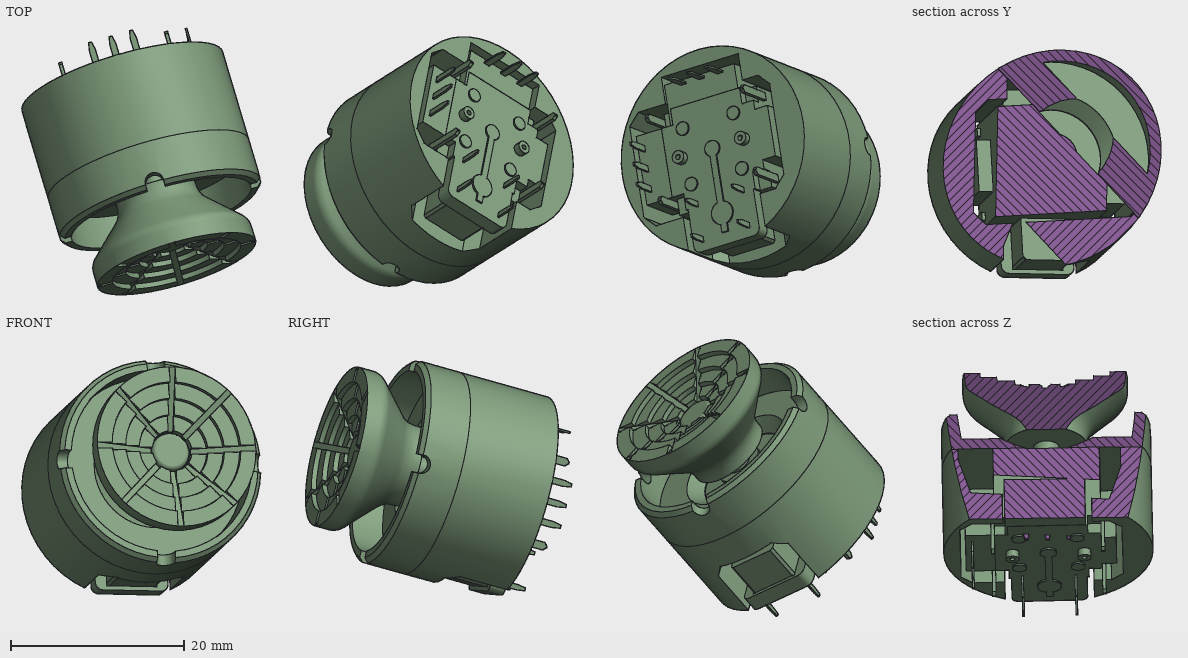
import cadquery as cq
import math

AZIMUTH = math.radians(16.6)
ELEVATION = math.radians(15.0)
ROLL = math.radians(-1.2)

BARREL_D = 24.2
BARREL_H = 16.38
SEAM_Z = 10.98
RIM_CHAMFER = 0.5
BORE_D = 21.68
FLOOR_Z = 12.58
FUNNEL_D = 14.0
THROAT_D = 11.05
FUNNEL_DEPTH = (FUNNEL_D - THROAT_D) / 2
NOTCH_D = 2.15
NOTCH_DEPTH = 1.63

ARM_HALF_W = 5.15
POCKET_TOP = 10.18
POCKET_RIGHT = 10.18
POCKET_LEFT = 8.57
POCKET_SIDE = 6.95
POCKET_CORNER = 1.4
SLOT_H = 7.25
SLOT_CHAMFER = 1.4

KNOB_TOP_Z = 22.75
KNOB_D = 19.05
KNOB_EDGE_H = 1.75
KNOB_ROUND = 1.5
NECK_D = 9.53
NECK_FLARE_R = 3.0
KNOB_H = 8.9
STEP_COUNT = 3
STEP_W = 1.805
STEP_DEPTH = 0.62
OUTER_STEP_D = 15.45
GROOVE_D = 4.75
GROOVE_DEPTH = 2.8
BUTTON_D = 4.5
BUTTON_DEPTH = 2.13
BUTTON_ROUND = 0.5
SPOKE_COUNT = 8
SPOKE_W = 0.7
SPOKE_DEPTH = 2.45

CORE_HALF = 6.17
CORNER_CUT_U = 4.63
CORNER_CUT_V = 4.2
CORNER_CUT_H = 1.23
SENSOR_INSET = 0.03
SENSOR_H = 6.17
TOP_SENSOR_LEFT = 4.4
TOP_SENSOR_RIGHT = 4.93
TOP_SENSOR_END = 9.15
RIGHT_SENSOR_HALF_W = 4.2
RIGHT_SENSOR_END = 9.55
LEFT_LUG_HALF_W = 3.08
LEFT_LUG_END = 7.85
TRAY_HALF_W = 4.38
TRAY_END = 11.63
TRAY_H = 1.85
TRAY_SIDE = 1.35
TRAY_WALL = 0.5
TRAY_ROUND = 0.85
SWITCH_CHAMFER = 0.3
STEM_D = 3.0
COLLAR_D = 5.52
COLLAR_H = 0.93
STEM_SOCKET_DEPTH = 1.55

PEG_D = 1.5
PEG_HOLE_D = 0.6
PEG_H = 0.9
PEG_U = 4.15
STUD_D = 1.6
STUD_H = 0.22
STUD_OFFSET = 3.4
RIB_W = 0.8
RIB_HUB_D = 1.9
RIB_BOSS_D = 2.78
RIB_BOSS_V = -7.85
RIB_END = -10.18

PIN_ROOT = 0.93
PIN_LENGTH = 3.25
PIN_THICK = 0.22
PIN_W = 0.75
PIN_PITCH = 2.47
PIN_TIP_W = 0.37
PIN_TAPER = 1.0
TOP_PIN_V = 8.67
RIGHT_PIN_U = 8.75
SWITCH_PIN_U = 3.08
SWITCH_PIN_V = (-5.92, -10.25)
SWITCH_PIN_W = 0.65
SWITCH_PIN_LENGTH = 2.65
LEG_W = 0.93
LEG_THICK = 0.4
LEG_LENGTH = 2.9
LEG_ROOT = 2.47
LEG_V = 5.03
LEG_TAPER = 0.37


def cylinder(diameter, bottom, top, u=0, v=0):
    """Upright cylinder between two heights."""
    return cq.Workplane("XY", origin=(u, v, bottom)).circle(diameter / 2).extrude(top - bottom)


def block(u_min, u_max, v_min, v_max, bottom, top):
    """Upright box given by its limits."""
    base = cq.Workplane("XY", origin=((u_min + u_max) / 2, (v_min + v_max) / 2, bottom))
    return base.rect(u_max - u_min, v_max - v_min).extrude(top - bottom)


def revolve_profile(points):
    """Turn a closed (radius, height) outline about the stick axis."""
    return cq.Workplane("XZ").polyline(points).close().revolve(360, (0, 0), (0, 1))


def make_throat():
    """Funnel below the bezel floor and the plain hole that follows it."""
    funnel_bottom = FLOOR_Z - FUNNEL_DEPTH
    return revolve_profile([
        (0, SEAM_Z),
        (THROAT_D / 2, SEAM_Z),
        (THROAT_D / 2, funnel_bottom),
        (FUNNEL_D / 2, FLOOR_Z),
        (0, FLOOR_Z),
    ])


def make_bezel():
    bezel = cylinder(BARREL_D, SEAM_Z, BARREL_H).faces(">Z").edges().chamfer(RIM_CHAMFER)
    bezel = bezel.cut(cylinder(BORE_D, FLOOR_Z, BARREL_H)).cut(make_throat())
    round_z = BARREL_H - NOTCH_DEPTH + NOTCH_D / 2
    for plane in ("XZ", "YZ"):
        notch = cq.Workplane(plane).center(0, round_z).circle(NOTCH_D / 2).extrude(BARREL_D / 2, both=True)
        above = cq.Workplane(plane).center(0, round_z + NOTCH_D / 2).rect(NOTCH_D, NOTCH_D)
        notch = notch.union(above.extrude(BARREL_D / 2, both=True))
        bezel = bezel.cut(notch.cut(cylinder(BORE_D, SEAM_Z, FLOOR_Z)))
    return bezel


def make_housing():
    housing = cylinder(BARREL_D, 0, SEAM_Z).cut(make_throat())
    wing_side = POCKET_SIDE - POCKET_CORNER
    pocket = (
        cq.Workplane("XY")
        .moveTo(-ARM_HALF_W, POCKET_TOP)
        .lineTo(ARM_HALF_W, POCKET_TOP)
        .lineTo(ARM_HALF_W, POCKET_SIDE)
        .lineTo(POCKET_RIGHT - POCKET_CORNER, POCKET_SIDE)
        .lineTo(POCKET_RIGHT, wing_side)
        .lineTo(POCKET_RIGHT, -wing_side)
        .lineTo(POCKET_RIGHT - POCKET_CORNER, -POCKET_SIDE)
        .lineTo(-POCKET_LEFT + POCKET_CORNER, -POCKET_SIDE)
        .lineTo(-POCKET_LEFT, -wing_side)
        .lineTo(-POCKET_LEFT, wing_side)
        .lineTo(-POCKET_LEFT + POCKET_CORNER, POCKET_SIDE)
        .lineTo(-ARM_HALF_W, POCKET_SIDE)
        .close()
        .extrude(SEAM_Z)
    )
    slot = block(-ARM_HALF_W, ARM_HALF_W, -BARREL_D / 2, 0, 0, SLOT_H)
    slot = slot.faces(">Z").edges("|Y").chamfer(SLOT_CHAMFER)
    return housing.cut(pocket).cut(slot)


def make_knob_body():
    """Mushroom shape: rounded rim, 45 degree cone and a flared neck."""
    rim_r = KNOB_D / 2
    neck_r = NECK_D / 2
    half_turn = math.radians(22.5)
    turn = math.radians(45)
    edge_z = KNOB_TOP_Z - KNOB_EDGE_H
    cone_top = (rim_r - KNOB_ROUND * (1 - math.cos(turn)), edge_z - KNOB_ROUND * math.sin(turn))
    cone_bottom_r = neck_r + NECK_FLARE_R * (1 - math.cos(turn))
    cone_bottom = (cone_bottom_r, cone_top[1] - (cone_top[0] - cone_bottom_r))
    flare_z = cone_bottom[1] - NECK_FLARE_R * math.sin(turn)
    round_middle = (
        rim_r - KNOB_ROUND * (1 - math.cos(half_turn)),
        edge_z - KNOB_ROUND * math.sin(half_turn),
    )
    flare_middle = (
        neck_r + NECK_FLARE_R * (1 - math.cos(half_turn)),
        flare_z + NECK_FLARE_R * math.sin(half_turn),
    )
    return (
        cq.Workplane("XZ")
        .moveTo(0, KNOB_TOP_Z)
        .lineTo(rim_r, KNOB_TOP_Z)
        .lineTo(rim_r, edge_z)
        .threePointArc(round_middle, cone_top)
        .lineTo(*cone_bottom)
        .threePointArc(flare_middle, (neck_r, flare_z))
        .lineTo(neck_r, KNOB_TOP_Z - KNOB_H)
        .lineTo(0, KNOB_TOP_Z - KNOB_H)
        .close()
        .revolve(360, (0, 0), (0, 1))
    )


def make_dish():
    """Material removed from the knob face: stepped rings crossed by sloping spokes."""
    rings = None
    for step in range(STEP_COUNT):
        ring_d = OUTER_STEP_D - 2 * STEP_W * step
        ring_bottom = KNOB_TOP_Z - STEP_DEPTH * (step + 1)
        ring = cylinder(ring_d, ring_bottom, KNOB_TOP_Z)
        rings = ring if rings is None else rings.union(ring)
    spokes = None
    for index in range(SPOKE_COUNT // 2):
        bar = block(-KNOB_D / 2, KNOB_D / 2, -SPOKE_W / 2, SPOKE_W / 2, 0, KNOB_TOP_Z)
        bar = bar.rotate((0, 0, 0), (0, 0, 1), index * 360 / SPOKE_COUNT)
        spokes = bar if spokes is None else spokes.union(bar)
    cone = revolve_profile([
        (0, KNOB_TOP_Z),
        (KNOB_D / 2, KNOB_TOP_Z),
        (GROOVE_D / 2, KNOB_TOP_Z - SPOKE_DEPTH),
        (0, KNOB_TOP_Z - SPOKE_DEPTH),
    ])
    groove = cylinder(GROOVE_D, KNOB_TOP_Z - GROOVE_DEPTH, KNOB_TOP_Z)
    return rings.cut(spokes).union(cone.intersect(spokes)).union(groove)


def make_knob():
    button = cylinder(BUTTON_D, KNOB_TOP_Z - GROOVE_DEPTH, KNOB_TOP_Z - BUTTON_DEPTH)
    button = button.faces(">Z").edges().fillet(BUTTON_ROUND)
    knob = make_knob_body().cut(make_dish()).union(button)
    knob_bottom = KNOB_TOP_Z - KNOB_H
    return knob.cut(cylinder(STEM_D, knob_bottom, knob_bottom + STEM_SOCKET_DEPTH))


def make_terminal(u, v, width, thickness, length, tip_width, taper, root, along_v):
    """Flat contact blade pointing rearward, with a tapered tip."""
    outline = [
        (-width / 2, root),
        (width / 2, root),
        (width / 2, taper - length),
        (tip_width / 2, -length),
        (-tip_width / 2, -length),
        (-width / 2, taper - length),
    ]
    plane = cq.Workplane("YZ") if along_v else cq.Workplane("XZ")
    return plane.polyline(outline).close().extrude(thickness / 2, both=True).translate((u, v, 0))


def make_terminals():
    terminals = []
    for index in (-1, 0, 1):
        shift = index * PIN_PITCH
        size = (PIN_W, PIN_THICK, PIN_LENGTH, PIN_TIP_W, PIN_TAPER, PIN_ROOT)
        terminals.append(make_terminal(shift, TOP_PIN_V, *size, along_v=False))
        terminals.append(make_terminal(RIGHT_PIN_U, shift, *size, along_v=True))
    for side in (-1, 1):
        size = (SWITCH_PIN_W, PIN_THICK, SWITCH_PIN_LENGTH, PIN_TIP_W, PIN_TAPER, TRAY_WALL)
        for pin_v in SWITCH_PIN_V:
            terminals.append(make_terminal(side * SWITCH_PIN_U, pin_v, *size, along_v=True))
        size = (LEG_W, LEG_THICK, LEG_LENGTH, LEG_W - 2 * LEG_TAPER, LEG_TAPER, LEG_ROOT)
        leg_u = side * (CORE_HALF + LEG_THICK / 2)
        for leg_v in (-LEG_V, LEG_V):
            terminals.append(make_terminal(leg_u, leg_v, *size, along_v=True))
    return terminals


def make_core():
    """Square body with relieved rear corners, its side sensors and the stem."""
    core = block(-CORE_HALF, CORE_HALF, -CORE_HALF, CORE_HALF, 0, SEAM_Z)
    for side_u in (-1, 1):
        for side_v in (-1, 1):
            relief = block(CORNER_CUT_U, CORE_HALF, CORNER_CUT_V, CORE_HALF, 0, CORNER_CUT_H)
            if side_u < 0:
                relief = relief.mirror("YZ")
            if side_v < 0:
                relief = relief.mirror("XZ")
            core = core.cut(relief)
    right_half = RIGHT_SENSOR_HALF_W
    left_half = LEFT_LUG_HALF_W
    core = core.union(block(-TOP_SENSOR_LEFT, TOP_SENSOR_RIGHT, 0, TOP_SENSOR_END, SENSOR_INSET, SENSOR_H))
    core = core.union(block(0, RIGHT_SENSOR_END, -right_half, right_half, SENSOR_INSET, SENSOR_H))
    core = core.union(block(-LEFT_LUG_END, 0, -left_half, left_half, 0, SENSOR_H))
    stem_top = KNOB_TOP_Z - KNOB_H + STEM_SOCKET_DEPTH
    core = core.union(cylinder(COLLAR_D, SEAM_Z, SEAM_Z + COLLAR_H))
    return core.union(cylinder(STEM_D, SEAM_Z, stem_top))


def make_tray():
    """Shallow tray on the lower side with the push switch standing in it."""
    tray = block(-TRAY_HALF_W, TRAY_HALF_W, -TRAY_END, -CORE_HALF, 0, TRAY_H)
    tray = tray.edges("|Z and <Y").fillet(TRAY_ROUND)
    inner_half = TRAY_HALF_W - TRAY_SIDE
    floor_v = TRAY_WALL - TRAY_END
    tray = tray.cut(block(-inner_half, inner_half, floor_v, -CORE_HALF, TRAY_WALL, TRAY_H))
    switch = block(-inner_half, inner_half, floor_v, -CORE_HALF, 0, SENSOR_H)
    return tray.union(switch.edges("|Z and <Y").chamfer(SWITCH_CHAMFER))


def make_rear_details():
    """Locating pegs, low studs and the keyhole-shaped rib on the rear face."""
    details = []
    for side in (-1, 1):
        peg = cylinder(PEG_D, -PEG_H, 0, side * PEG_U)
        details.append(peg.cut(cylinder(PEG_HOLE_D, -PEG_H, 0, side * PEG_U)))
        for stud_v in (-STUD_OFFSET, STUD_OFFSET):
            details.append(cylinder(STUD_D, -STUD_H, 0, side * STUD_OFFSET, stud_v))
    details.append(block(-RIB_W / 2, RIB_W / 2, RIB_END, 0, -STUD_H, 0))
    details.append(cylinder(RIB_HUB_D, -STUD_H, 0))
    details.append(cylinder(RIB_BOSS_D, -STUD_H, 0, 0, RIB_BOSS_V))
    return details


def make_module():
    module = make_core().union(make_tray())
    for detail in make_rear_details() + make_terminals():
        module = module.union(detail)
    return module


def tilted_frame():
    """Frame whose normal is the stick axis, rolled about that axis."""
    axis = cq.Vector(
        math.cos(ELEVATION) * math.sin(AZIMUTH),
        -math.cos(ELEVATION) * math.cos(AZIMUTH),
        math.sin(ELEVATION),
    )
    level = cq.Vector(math.cos(AZIMUTH), math.sin(AZIMUTH), 0)
    across = level * math.cos(ROLL) + axis.cross(level) * math.sin(ROLL)
    return cq.Location(cq.Plane(origin=(0, 0, 0), xDir=across, normal=axis))


frame = tilted_frame()
housing = make_housing()
bezel = make_bezel()
knob = make_knob()
module = make_module()
result = cq.Compound.makeCompound([
    housing.solids().val().moved(frame),
    bezel.solids().val().moved(frame),
    knob.solids().val().moved(frame),
    module.solids().val().moved(frame),
])